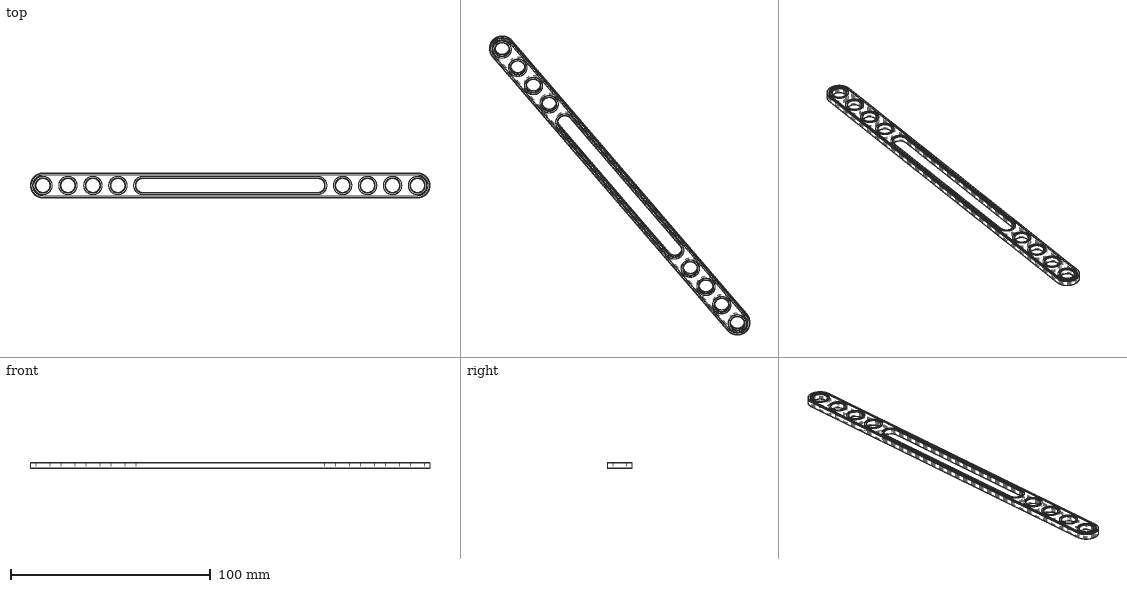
import cadquery as cq

length = 200.0
pitch = length / 16
width = pitch
thickness = pitch / 4

holes_per_end = 4
hole_diameter = 7.0
end_hole_x = (length - pitch) / 2
slot_end_x = end_hole_x - holes_per_end * pitch
hole_centers = [
    (side * (end_hole_x - i * pitch), 0)
    for side in (-1, 1)
    for i in range(holes_per_end)
]

rim_width = 1.1
web_recess = 0.2
edge_chamfer = 0.3


def bar_outline(inset, height):
    """Full-round bar, drawn in from the outer outline by the inset."""
    sketch = cq.Workplane("XY").slot2D(length - 2 * inset, width - 2 * inset)
    return sketch.extrude(height)


def openings(offset, height):
    """All holes and the slot as solids, grown outward by the offset."""
    diameter = hole_diameter + 2 * offset
    holes = cq.Workplane("XY").pushPoints(hole_centers).circle(diameter / 2).extrude(height)
    slot = cq.Workplane("XY").slot2D(2 * slot_end_x + diameter, diameter).extrude(height)
    return holes.union(slot)


def web_pockets():
    """Shallow pockets between the outer rim and the rims of the openings."""
    return bar_outline(rim_width, web_recess).cut(openings(rim_width, web_recess))


bar = bar_outline(0, thickness).cut(openings(0, thickness))
bar = bar.faces("<Z or >Z").chamfer(edge_chamfer)

for pocket_floor in (0, thickness - web_recess):
    bar = bar.cut(web_pockets().translate((0, 0, pocket_floor)))

result = bar